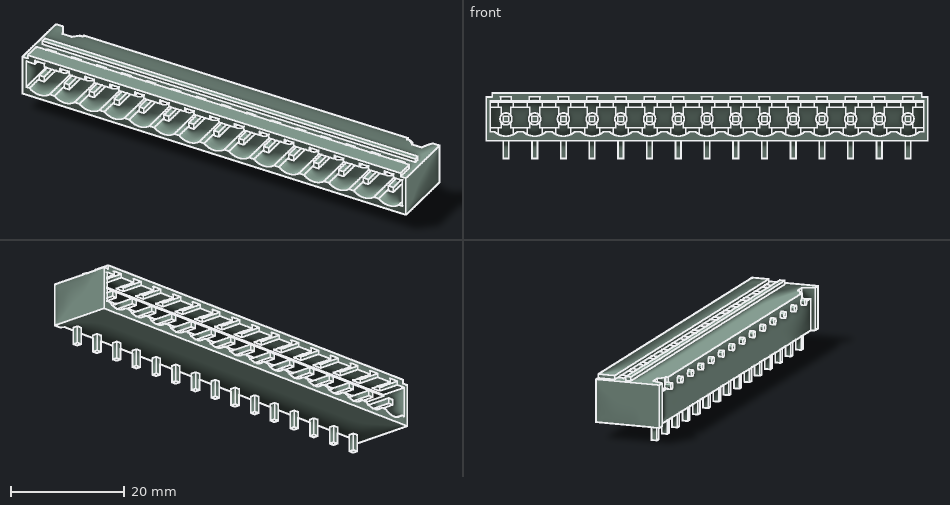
import cadquery as cq
import math


LENGTH = 78.1
DEPTH = 12.0
HEIGHT = 7.8
SIDE_WALL = 0.8
ROOF = 0.7
FRONT = -DEPTH / 2
BACK = DEPTH / 2
OVERLAP = 0.15

PIN_COUNT = 15
PITCH = 5.1
PIN_SIZE = 1.0
PIN_Z = HEIGHT / 2
PIN_TIP_INSET = 0.8
LEG_LENGTH = 3.1
LEG_FROM_BACK = 2.2
COLLAR_DIAMETER = 2.1
COLLAR_LENGTH = 0.6

RAIL_HEIGHT = 0.7
RAIL_END_INSET = 1.1
FRONT_RAIL_DEPTH = 3.1
THIN_RAIL_DEPTH = 0.9
THIN_RAIL_FROM_FRONT = 5.2

CAVITY_DEPTH = 9.0
FLOOR_Z = 1.65
CEILING_STEP = 0.2
CEILING_STEP_FROM_FRONT = 5.1
SCALLOP_RADIUS = 3.05
WALL_RIB_BOTTOM = 2.35
WALL_RIB_TOP = 5.9
PILLAR_RADIUS = 1.5
PILLAR_HALF_WIDTH_AT_WALL = 1.3
PILLAR_HALF_WIDTH_AT_RIB = 0.85
ROOF_SLOT_WIDTH = 1.9
ROOF_SLOT_DEPTH = 4.3

REAR_RECESS = 0.7
END_BLOCK_WIDTH = 1.4
END_BLOCK_ROOT_WIDTH = 1.9
PEG_DIAMETER = 1.2
PEG_Z = 6.25
PEG_ROOT = 0.8
NOTCH_FLOOR_Z = 5.85
NOTCH_REACH = 2.1
NOTCH_FLAT_START = 2.5
NOTCH_FLAT_END = 4.45
NOTCH_SHOULDER = 1.1

LEFT = -LENGTH / 2
CEILING_Z = HEIGHT - ROOF
ROW_START = -PITCH * (PIN_COUNT - 1) / 2
PIN_XS = [ROW_START + i * PITCH for i in range(PIN_COUNT)]
PEG_XS = [x + PITCH / 2 for x in PIN_XS[:-1]]
CAVITY_BACK = FRONT + CAVITY_DEPTH
PILLAR_Y = CAVITY_BACK + math.sqrt(PILLAR_RADIUS ** 2 - PILLAR_HALF_WIDTH_AT_WALL ** 2)
RIB_FACE = PILLAR_Y - math.sqrt(PILLAR_RADIUS ** 2 - PILLAR_HALF_WIDTH_AT_RIB ** 2)
RECESS_Y = BACK - REAR_RECESS


def box(x0, x1, y0, y1, z0, z1):
    """Axis-aligned box between two corners."""
    return cq.Workplane("XY").box(x1 - x0, y1 - y0, z1 - z0, centered=False).translate((x0, y0, z0))


def centred_box(x, width, y0, y1, z0, z1):
    """Box of the given width centred on x."""
    return box(x - width / 2, x + width / 2, y0, y1, z0, z1)


def rod_along_y(x, z, diameter, y0, y1):
    """Round rod running along Y."""
    return cq.Workplane("XZ", origin=(x, y0, z)).circle(diameter / 2).extrude(y0 - y1)


def both_ends(shape):
    """The shape at the -X end together with its mirror image at the +X end."""
    return shape.union(shape.mirror("YZ"))


def housing_block():
    """Solid outer block with the rear recess between its end blocks, and the roof rails."""
    outline = [
        (LEFT, FRONT),
        (LEFT, BACK),
        (LEFT + END_BLOCK_WIDTH, BACK),
        (LEFT + END_BLOCK_ROOT_WIDTH, RECESS_Y),
        (-LEFT - END_BLOCK_ROOT_WIDTH, RECESS_Y),
        (-LEFT - END_BLOCK_WIDTH, BACK),
        (-LEFT, BACK),
        (-LEFT, FRONT),
    ]
    block = cq.Workplane("XY").polyline(outline).close().extrude(HEIGHT)
    rail_length = LENGTH - 2 * RAIL_END_INSET
    rail_top = HEIGHT + RAIL_HEIGHT
    front_rail = centred_box(0, rail_length, FRONT, FRONT + FRONT_RAIL_DEPTH, HEIGHT - OVERLAP, rail_top)
    thin_front = FRONT + THIN_RAIL_FROM_FRONT
    thin_rail = centred_box(0, rail_length, thin_front, thin_front + THIN_RAIL_DEPTH, HEIGHT - OVERLAP, rail_top)
    return block.union(front_rail).union(thin_rail)


def cavity():
    """Mating cavity: stepped ceiling, scalloped floor, roof slots, ribbed and pillared rear wall."""
    width = LENGTH - 2 * SIDE_WALL
    step_y = FRONT + CEILING_STEP_FROM_FRONT
    space = centred_box(0, width, FRONT, step_y, FLOOR_Z, CEILING_Z)
    space = space.union(centred_box(0, width, FRONT, CAVITY_BACK, FLOOR_Z, CEILING_Z - CEILING_STEP))
    for x in PIN_XS:
        groove = rod_along_y(x, PIN_Z, 2 * SCALLOP_RADIUS, FRONT, CAVITY_BACK)
        groove = groove.intersect(centred_box(x, PITCH, FRONT, CAVITY_BACK, 0, PIN_Z))
        slot = centred_box(x, ROOF_SLOT_WIDTH, FRONT, FRONT + ROOF_SLOT_DEPTH, PIN_Z, HEIGHT)
        space = space.union(groove).union(slot)
    space = space.cut(centred_box(0, LENGTH, RIB_FACE, BACK, WALL_RIB_BOTTOM, WALL_RIB_TOP))
    for x in PIN_XS:
        pillar = cq.Workplane("XY").center(x, PILLAR_Y).circle(PILLAR_RADIUS).extrude(HEIGHT)
        space = space.cut(pillar)
    return space


def corner_notch():
    """Pocket sunk into the roof at the -X rear corner, beside the end block."""
    peg_x = PEG_XS[0]
    shoulder_y = BACK - NOTCH_SHOULDER
    outline = [
        (LEFT + END_BLOCK_ROOT_WIDTH, RECESS_Y),
        (LEFT + NOTCH_FLAT_START, BACK - NOTCH_REACH),
        (LEFT + NOTCH_FLAT_END, BACK - NOTCH_REACH),
        (peg_x - PEG_DIAMETER / 2, shoulder_y),
        (peg_x, shoulder_y),
        (peg_x, RECESS_Y),
    ]
    return (
        cq.Workplane("XY", origin=(0, 0, NOTCH_FLOOR_Z))
        .polyline(outline)
        .close()
        .extrude(HEIGHT - NOTCH_FLOOR_Z)
    )


def contact(x):
    """Square pin bent down into a solder leg, with a round collar where it leaves the wall."""
    half = PIN_SIZE / 2
    leg_y = BACK - LEG_FROM_BACK
    pin = centred_box(x, PIN_SIZE, FRONT + PIN_TIP_INSET, leg_y, PIN_Z - half, PIN_Z + half)
    leg = centred_box(x, PIN_SIZE, leg_y - half, leg_y + half, -LEG_LENGTH, PIN_Z)
    collar_front = PILLAR_Y - PILLAR_RADIUS - COLLAR_LENGTH
    collar = rod_along_y(x, PIN_Z, COLLAR_DIAMETER, collar_front, CAVITY_BACK)
    return pin.union(leg).union(collar)


result = housing_block().cut(cavity()).cut(both_ends(corner_notch()))
for pin_x in PIN_XS:
    result = result.union(contact(pin_x))
for peg_x in PEG_XS:
    result = result.union(rod_along_y(peg_x, PEG_Z, PEG_DIAMETER, RECESS_Y - PEG_ROOT, BACK))